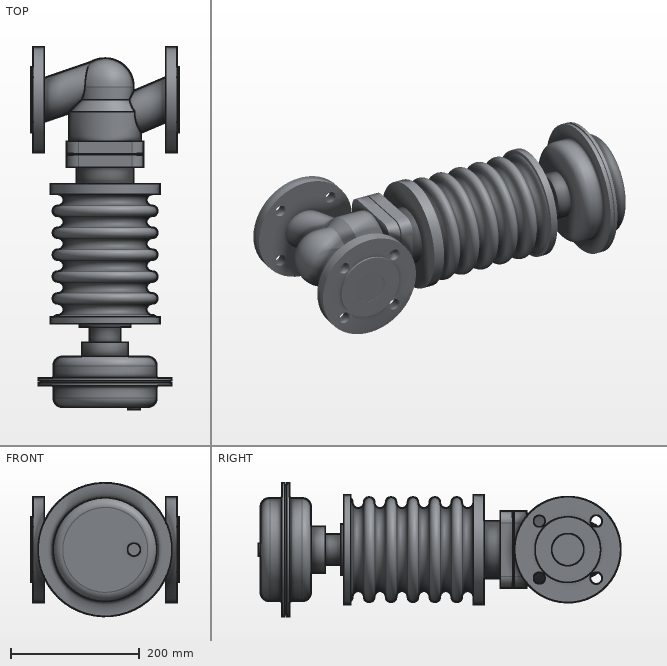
import cadquery as cq
import math


face_to_face = 230.0
flange_radius = 82.5
flange_thickness = 18.0
raised_face_radius = 51.0
raised_face_height = 3.0
port_radius = 25.0
port_depth = 0.5
bolt_circle_radius = 62.5
bolt_count = 4
bolt_hole_radius = 9.0

pipe_radius = 32.5
inlet_angle = 19.0
outlet_angle = 23.0

dome_radius = 45.0
dome_center_y = 20.0
cone_top_y = 0.0
cone_bottom_y = -18.5
body_radius = 56.5
body_bottom_y = -64.0

joint_side = 120.0
joint_corner_radius = 18.5
joint_bottom_y = -105.0
gasket_thickness = 2.0
gasket_radius = 50.0

neck_radius = 45.0
top_plate_y = -130.0
top_plate_thickness = 17.0
end_plate_radius = 85.5
bellows_mean_radius = 73.3
bellows_wave_radius = 8.5
bellows_waves = 5
bottom_plate_y = -337.0
bottom_plate_thickness = 11.0

washer_radius = 40.0
washer_thickness = 5.0
stem_radius = 24.5
collar_radius = 36.5
collar_top_y = -376.5

housing_radius = 80.5
housing_top_y = -398.5
housing_bottom_y = -477.5
housing_edge_radius = 14.5
rim_radius = 104.0
rim_plate_thickness = 4.5
rim_gap = 3.0
diaphragm_radius = 101.0
rim_fillet_radius = 2.5
knob_radius = 10.0
knob_offset = 45.0
knob_height = 3.5


def disc(radius, start_y, end_y):
    """Cylinder on the valve axis between two stations."""
    return cq.Workplane("XZ", origin=(0, start_y, 0)).circle(radius).extrude(start_y - end_y)


def pipe_flange(side):
    """Drilled flange with a raised face; side is -1 for the -X end and +1 for the +X end."""
    face_x = face_to_face / 2
    plate_x = face_x - raised_face_height
    inner_x = plate_x - flange_thickness
    flange = cq.Workplane("YZ", origin=(inner_x, 0, 0)).circle(flange_radius).extrude(flange_thickness)
    raised_face = cq.Workplane("YZ", origin=(plate_x, 0, 0)).circle(raised_face_radius)
    flange = flange.union(raised_face.extrude(raised_face_height))
    first_hole_angle = 180.0 / bolt_count
    holes = (
        cq.Workplane("YZ", origin=(inner_x, 0, 0))
        .polarArray(bolt_circle_radius, first_hole_angle, 360, bolt_count)
        .circle(bolt_hole_radius)
        .extrude(flange_thickness)
    )
    port = cq.Workplane("YZ", origin=(face_x - port_depth, 0, 0)).circle(port_radius).extrude(port_depth)
    flange = flange.cut(holes).cut(port)
    if side < 0:
        flange = flange.mirror("YZ")
    return flange


def sloping_pipe(side, rise_angle):
    """Round pipe from inside a flange to the valve axis, rising toward +Y by rise_angle."""
    start_x = face_to_face / 2 - raised_face_height - flange_thickness
    angle = math.radians(rise_angle)
    direction = cq.Vector(-side * math.cos(angle), math.sin(angle), 0)
    overrun = pipe_radius * math.tan(abs(angle))
    length = start_x / math.cos(angle) + overrun
    start = cq.Vector(side * start_x, 0, 0) - direction * overrun
    pipe = cq.Workplane(cq.Solid.makeCylinder(pipe_radius, length, start, direction))
    trim_size = 2 * flange_radius
    trim = cq.Workplane("XY").box(2 * start_x, trim_size, trim_size)
    return pipe.intersect(trim)


def valve_body():
    """Round body tapering to a narrower cylinder that ends in a hemisphere."""
    return (
        cq.Workplane("XY")
        .moveTo(0, body_bottom_y)
        .lineTo(body_radius, body_bottom_y)
        .lineTo(body_radius, cone_bottom_y)
        .lineTo(dome_radius, cone_top_y)
        .lineTo(dome_radius, dome_center_y)
        .radiusArc((0, dome_center_y + dome_radius), -dome_radius)
        .close()
        .revolve(360, (0, 0, 0), (0, 1, 0))
    )


def joint_plate(start_y, thickness):
    plate = cq.Workplane("XZ", origin=(0, start_y, 0)).rect(joint_side, joint_side).extrude(thickness)
    return plate.edges("|Y").fillet(joint_corner_radius)


def bonnet_joint():
    plate_thickness = (body_bottom_y - joint_bottom_y - gasket_thickness) / 2
    gasket_y = body_bottom_y - plate_thickness
    lower_plate_y = gasket_y - gasket_thickness
    joint = joint_plate(body_bottom_y, plate_thickness)
    joint = joint.union(disc(gasket_radius, gasket_y, lower_plate_y))
    return joint.union(joint_plate(lower_plate_y, plate_thickness))


def bellows():
    """Convoluted sleeve: half-circle valleys and crests in turn, the last crest cut by the end plate."""
    wave = 2 * bellows_wave_radius
    start_y = top_plate_y - top_plate_thickness
    plate_bottom_y = bottom_plate_y - bottom_plate_thickness
    profile = cq.Workplane("XY").moveTo(0, start_y).lineTo(bellows_mean_radius, start_y)
    y = start_y
    for _ in range(bellows_waves + 1):
        for bulge in (-bellows_wave_radius, bellows_wave_radius):
            middle = (bellows_mean_radius + bulge, y - bellows_wave_radius)
            profile = profile.threePointArc(middle, (bellows_mean_radius, y - wave))
            y -= wave
    sleeve = profile.lineTo(0, y).close().revolve(360, (0, 0, 0), (0, 1, 0))
    sleeve = sleeve.intersect(disc(end_plate_radius, start_y, bottom_plate_y))
    top_plate = disc(end_plate_radius, top_plate_y, start_y)
    return sleeve.union(top_plate).union(disc(end_plate_radius, bottom_plate_y, plate_bottom_y))


def stem():
    washer_y = bottom_plate_y - bottom_plate_thickness
    stem_y = washer_y - washer_thickness
    washer = disc(washer_radius, washer_y, stem_y)
    rod = disc(stem_radius, stem_y, collar_top_y)
    return washer.union(rod).union(disc(collar_radius, collar_top_y, housing_top_y))


def actuator():
    """Rounded housing with a split clamping rim around its middle and a knob on its end."""
    middle_y = (housing_top_y + housing_bottom_y) / 2
    rim_half = rim_gap / 2 + rim_plate_thickness
    half = (
        cq.Workplane("XY")
        .moveTo(0, middle_y)
        .lineTo(diaphragm_radius, middle_y)
        .lineTo(diaphragm_radius, middle_y + rim_gap / 2)
        .lineTo(rim_radius, middle_y + rim_gap / 2)
        .lineTo(rim_radius, middle_y + rim_half)
        .lineTo(housing_radius + rim_fillet_radius, middle_y + rim_half)
        .radiusArc((housing_radius, middle_y + rim_half + rim_fillet_radius), rim_fillet_radius)
        .lineTo(housing_radius, housing_top_y - housing_edge_radius)
        .radiusArc((housing_radius - housing_edge_radius, housing_top_y), -housing_edge_radius)
        .lineTo(0, housing_top_y)
        .close()
        .revolve(360, (0, 0, 0), (0, 1, 0))
    )
    housing = half.union(half.mirror("XZ", (0, middle_y, 0)))
    knob = disc(knob_radius, housing_bottom_y, housing_bottom_y - knob_height)
    return housing.union(knob.translate((knob_offset, 0, 0)))


result = (
    valve_body()
    .union(sloping_pipe(-1, inlet_angle))
    .union(sloping_pipe(1, -outlet_angle))
    .union(pipe_flange(-1))
    .union(pipe_flange(1))
    .union(bonnet_joint())
    .union(disc(neck_radius, joint_bottom_y, top_plate_y))
    .union(bellows())
    .union(stem())
    .union(actuator())
)